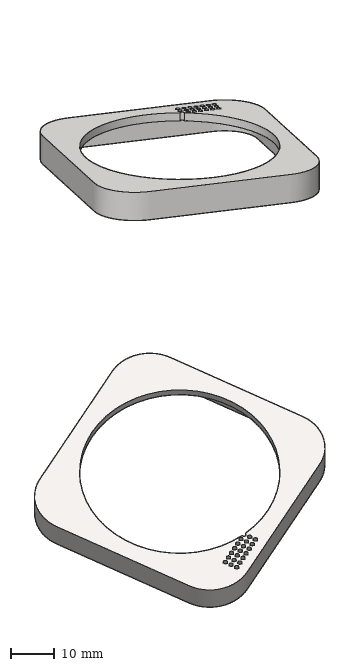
import cadquery as cq

side = 55.0
height = 7.0
corner_radius = 10.0
wall = 2.0
top_thickness = 2.0

window_diameter = 46.55

hole_diameter = 1.0
hole_columns = 3
hole_rows = 7
grid_length = 9.0
hole_pitch = grid_length / (hole_rows - 1)
first_hole_x = -side / 2 + 2.8
first_hole_y = 8.5


def rounded_block(width, depth, radius):
    """Square block with rounded vertical edges, standing on Z = 0."""
    block = cq.Workplane("XY").rect(width, width).extrude(depth)
    return block.edges("|Z").fillet(radius)


def hollow_cap():
    """Body with walls of even thickness under the top plate."""
    body = rounded_block(side, height, corner_radius)
    cavity = rounded_block(side - 2 * wall, height - top_thickness, corner_radius - wall)
    return body.cut(cavity)


def window_cutter():
    return cq.Workplane("XY").circle(window_diameter / 2).extrude(height)


def hole_grid_cutter():
    """Pins for the hole grid; the corner hole breaks into the window."""
    centers = [
        (first_hole_x + column * hole_pitch, first_hole_y + row * hole_pitch)
        for column in range(hole_columns)
        for row in range(hole_rows)
    ]
    return cq.Workplane("XY").pushPoints(centers).circle(hole_diameter / 2).extrude(height)


result = hollow_cap().cut(window_cutter()).cut(hole_grid_cutter())